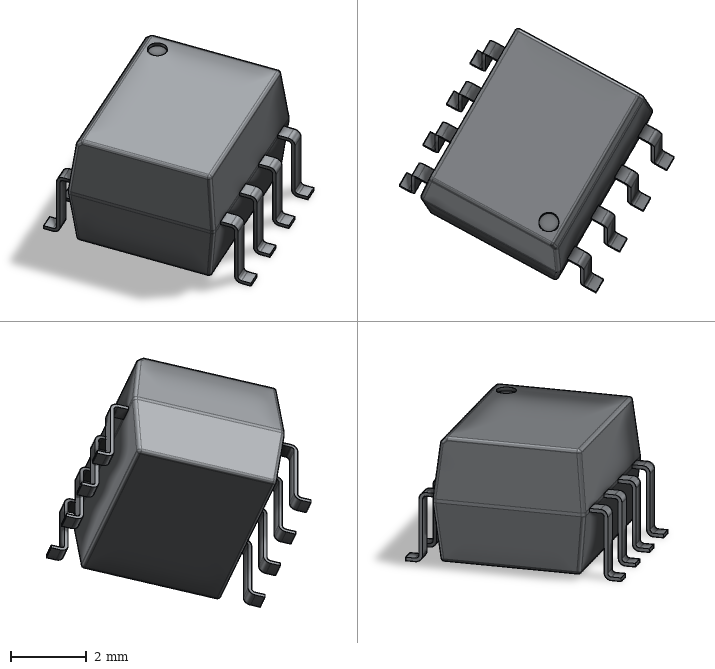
import cadquery as cq

overall_span = 5.94
body_top = 3.63

lead_thickness = 0.1
lead_width = 0.405
lead_pitch = 1.27
leads_per_side = 4
lead_top = 1.95
lead_inner_radius = 0.1
lead_outer_radius = lead_inner_radius + lead_thickness
foot_length = 0.27

body_width = 4.205
body_length = 5.1
body_bottom = 0.16
belt_top = lead_top
belt_bottom = belt_top - lead_thickness
draft_angle = 6.0
edge_radius = 0.1
tolerance = 0.0005
bevel_leg = 0.15

dimple_diameter = 0.52
dimple_depth = 0.1
dimple_x = -1.4
dimple_y = 1.85


def belt_prism(z, height, taper=0.0):
    """Block grown from the belt rectangle at height z; a negative height grows downwards."""
    return (
        cq.Workplane("XY", origin=(0, 0, z))
        .rect(body_width, body_length)
        .extrude(height, taper=taper)
    )


def make_body():
    """Housing drafted both ways from a straight belt, bevelled along its top -X edge."""
    upper_half = belt_prism(belt_top, body_top - belt_top, draft_angle)
    belt = belt_prism(belt_bottom, belt_top - belt_bottom)
    lower_half = belt_prism(belt_bottom, body_bottom - belt_bottom, draft_angle)
    body = upper_half.union(belt).union(lower_half)

    body = body.faces(">Z").edges("<X").chamfer(bevel_leg)

    def on_belt(edge):
        box = edge.BoundingBox()
        flat = box.zmax - box.zmin < tolerance
        return flat and belt_bottom - tolerance < box.zmin < belt_top + tolerance

    rounded_edges = [edge for edge in body.edges().vals() if not on_belt(edge)]
    body = body.newObject(rounded_edges).fillet(edge_radius)

    dimple = (
        cq.Workplane("XY", origin=(dimple_x, dimple_y, body_top))
        .circle(dimple_diameter / 2)
        .extrude(-dimple_depth)
    )
    return body.cut(dimple)


def make_lead(side, y):
    """Gull-wing lead that butts against the belt; side is +1 for +X and -1 for -X."""
    root_x = body_width / 2
    tip_x = overall_span / 2
    foot_bend_x = tip_x - foot_length
    leg_inner_x = foot_bend_x - lead_outer_radius
    leg_outer_x = leg_inner_x + lead_thickness
    shoulder_bend_x = leg_outer_x - lead_outer_radius
    shoulder_bend_z = lead_top - lead_outer_radius
    foot_bend_z = lead_outer_radius

    lead = (
        cq.Workplane("XZ")
        .moveTo(root_x, lead_top)
        .lineTo(shoulder_bend_x, lead_top)
        .radiusArc((leg_outer_x, shoulder_bend_z), lead_outer_radius)
        .lineTo(leg_outer_x, foot_bend_z)
        .radiusArc((foot_bend_x, lead_thickness), -lead_inner_radius)
        .lineTo(tip_x, lead_thickness)
        .lineTo(tip_x, 0)
        .lineTo(foot_bend_x, 0)
        .radiusArc((leg_inner_x, foot_bend_z), lead_outer_radius)
        .lineTo(leg_inner_x, shoulder_bend_z)
        .radiusArc((shoulder_bend_x, lead_top - lead_thickness), -lead_inner_radius)
        .lineTo(root_x, lead_top - lead_thickness)
        .close()
        .extrude(lead_width / 2, both=True)
    )
    if side < 0:
        lead = lead.mirror("YZ")
    return lead.translate((0, y, 0))


body = make_body()

leads = []
first_lead_y = -lead_pitch * (leads_per_side - 1) / 2
for side in (-1, 1):
    for index in range(leads_per_side):
        leads.append(make_lead(side, first_lead_y + index * lead_pitch))

result = cq.Compound.makeCompound([body.val(), *[lead.val() for lead in leads]])